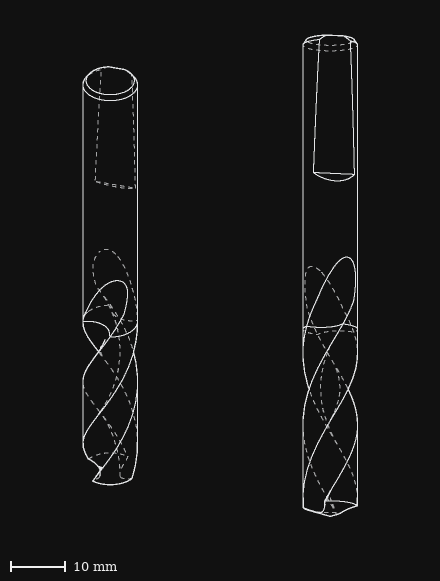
import cadquery as cq
import math

diameter = 10.0
overall_length = 89.0
head_length = 35.0
radius = diameter / 2

point_angle = 140.0
point_height = radius / math.tan(math.radians(point_angle / 2))

chamfer_width = 0.6
chamfer_length = 0.9
flat_tilt = 2.0
flat_end_depth = 0.88
flat_length = 25.6
ramp_angle = 45.0

flute_count = 2
helix_angle = 30.0
helix_lead = math.pi * diameter / math.tan(math.radians(helix_angle))
tip_flute_angle = 190.6
mouth_radius = 6.9
lip_angle = 45.1
heel_angle = -35.4
lip_inner_radius = 3.1
lip_inner_angle = 40.0
core_radius = 1.75

helix_overrun = 1.0

helix_top = 39.6
flute_top = 48.0
runout_arc_radius = 14.4
runout_center_radius = 4.2
runout_steps = 6


def polar(distance, angle):
    """Point at a distance from the axis and an angle in degrees."""
    return (
        distance * math.cos(math.radians(angle)),
        distance * math.sin(math.radians(angle)),
    )


def turned_blank(profile):
    """Solid of revolution about Z from (radius, height) points, with its seam on the -Y side."""
    blank = cq.Workplane("XZ").polyline(profile).close().revolve(360, (0, 0), (0, 1))
    return blank.rotate((0, 0, 0), (0, 0, 1), -90)


def flute_section(workplane):
    """Closed cross-section of one flute: straight lip, round gullet, open toward local +X."""
    lip_inner = polar(lip_inner_radius, lip_inner_angle)
    lip_outer = polar(mouth_radius, lip_angle)
    heel = polar(mouth_radius, heel_angle)
    return (
        workplane.moveTo(*lip_outer)
        .lineTo(*lip_inner)
        .threePointArc((core_radius, 0), heel)
        .close()
    )


def helical_cutter():
    """Flute section twisted along the helix, from below the tip up to the run-out."""
    helix_length = helix_overrun + helix_top
    twist = 360 * helix_length / helix_lead
    section = flute_section(cq.Workplane("XY", origin=(0, 0, -helix_overrun)))
    cutter = section.twistExtrude(helix_length, twist)
    start_angle = tip_flute_angle - 360 * helix_overrun / helix_lead
    return cutter.rotate((0, 0, 0), (0, 0, 1), start_angle)


def runout_cutter():
    """Flute section lofted along the helix tangent while rising radially outward on an arc."""
    tangent_slope = 2 * math.pi * runout_center_radius / helix_lead
    sections = []
    for step in range(runout_steps + 1):
        height = (flute_top - helix_top) * step / runout_steps
        rise = runout_arc_radius - math.sqrt(runout_arc_radius**2 - height**2)
        raised = cq.Workplane("XY", origin=(rise, height * tangent_slope, helix_top + height))
        sections.append(flute_section(raised).val())
    cutter = cq.Workplane(cq.Solid.makeLoft(sections))
    end_angle = tip_flute_angle + 360 * helix_top / helix_lead
    return cutter.rotate((0, 0, 0), (0, 0, 1), end_angle)


def cut_flutes(body):
    """Cut every flute, helix and run-out, from a body in its final place."""
    helix = helical_cutter()
    runout = runout_cutter()
    for index in range(flute_count):
        turn = 360 * index / flute_count
        body = body.cut(helix.rotate((0, 0, 0), (0, 0, 1), turn))
        body = body.cut(runout.rotate((0, 0, 0), (0, 0, 1), turn))
    return body


def make_head():
    """Cylindrical cutting head with a conical point and two helical flutes."""
    profile = [(0, 0), (radius, point_height), (radius, head_length), (0, head_length)]
    blank = turned_blank(profile)
    return cut_flutes(blank)


def whistle_notch():
    """Tilted flat on the +Y side of the shank, ending in a ramp back to the surface."""
    flat_bottom = overall_length - flat_length
    bottom_depth = flat_end_depth + flat_length * math.tan(math.radians(flat_tilt))
    ramp_length = bottom_depth / math.tan(math.radians(ramp_angle))
    profile = [
        (radius - flat_end_depth, overall_length),
        (radius - bottom_depth, flat_bottom),
        (radius, flat_bottom - ramp_length),
        (radius, overall_length),
    ]
    return cq.Workplane("YZ").polyline(profile).close().extrude(radius, both=True)


def make_shank():
    """Chamfered shank with the whistle notch and the upper ends of the flutes."""
    profile = [
        (0, head_length),
        (radius, head_length),
        (radius, overall_length - chamfer_length),
        (radius - chamfer_width, overall_length),
        (0, overall_length),
    ]
    blank = turned_blank(profile)
    return cut_flutes(blank).cut(whistle_notch())


cutting_head = make_head()
shank = make_shank()

result = cq.Compound.makeCompound([cutting_head.solids().val(), shank.solids().val()])